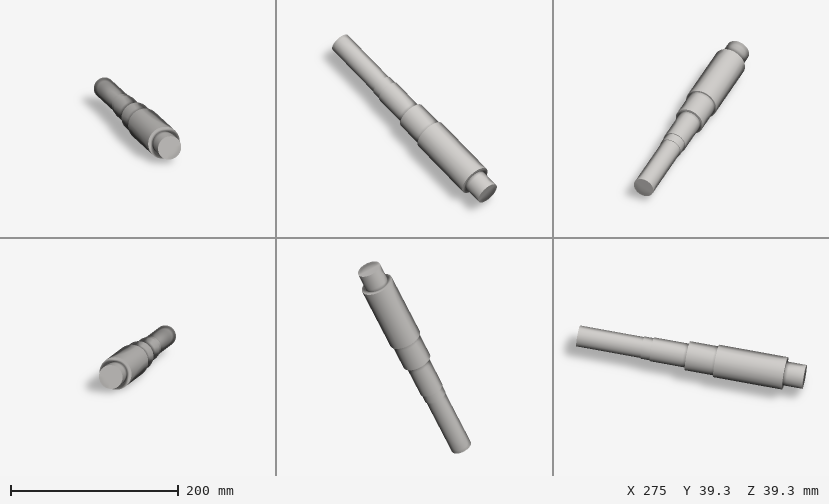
import cadquery as cq

total_length = 275.0
stepped_sections = [
    (78.0, 25.3),
    (11.5, 27.0),
    (43.2, 29.0),
    (35.0, 35.2),
    (83.5, 39.3),
]
end_journal_diameter = 29.0

end_journal_length = total_length - sum(length for length, _ in stepped_sections)
sections = stepped_sections + [(end_journal_length, end_journal_diameter)]


def shaft_profile(sections):
    """Half outline of the shaft in the XY plane, closed along the axis."""
    x = -total_length / 2
    points = [(x, 0)]
    for length, diameter in sections:
        points.append((x, diameter / 2))
        x += length
        points.append((x, diameter / 2))
    points.append((x, 0))
    return cq.Workplane("XY").polyline(points).close()


result = shaft_profile(sections).revolve(360, (0, 0, 0), (1, 0, 0))